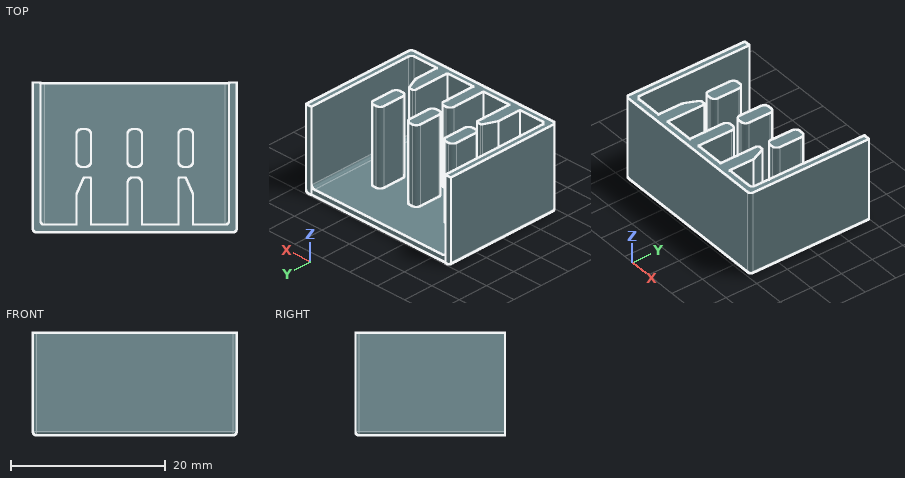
import cadquery as cq

length = 26.4
depth = 19.4
height = 13.3
wall = 1.0
floor_thickness = 1.0
floor_setback = 0.08
outer_radius = 0.5
inner_radius = 0.5

pitch = 6.6
post_width = 1.93
post_length = 4.88
post_radius = 0.7
post_center_offset = 10.93
middle_rib_width = 1.85
rib_length = 6.12
taper_length = 2.22
tip_width = 0.95
tip_radius = 0.26

front_y = -depth / 2
back_y = depth / 2
post_center_y = front_y + post_center_offset
inner_front_y = front_y + wall
rib_tip_y = inner_front_y + rib_length
cavity_height = height - floor_thickness
root_y = front_y + wall / 2
root_z = floor_thickness / 2
standing_height = height - root_z


def make_shell():
    """Three-walled tray with rounded outer and inner edges."""
    body = cq.Workplane("XY").box(length, depth, height, centered=(True, True, False))
    body = body.edges("|Z and <Y").fillet(outer_radius)
    body = body.faces("<Z").edges("not >Y").fillet(outer_radius)

    cavity_depth = back_y - inner_front_y
    cavity_block = (
        cq.Workplane("XY", origin=(0, inner_front_y + cavity_depth / 2, floor_thickness))
        .box(length - 2 * wall, cavity_depth, cavity_height, centered=(True, True, False))
    )
    rounded_corners = cavity_block.edges("|Z and <Y").fillet(inner_radius)
    rounded_floor_sides = cavity_block.edges("<Z and |Y").fillet(inner_radius)
    cavity = rounded_corners.intersect(rounded_floor_sides)

    setback_cut = (
        cq.Workplane("XY", origin=(0, back_y - floor_setback / 2, 0))
        .box(length - 2 * wall, floor_setback, height, centered=(True, True, False))
    )
    return body.cut(cavity).cut(setback_cut)


def make_post(x):
    """Round-cornered post standing free on the floor."""
    return (
        cq.Workplane("XY", origin=(x, post_center_y, root_z))
        .rect(post_width, post_length)
        .extrude(standing_height)
        .edges("|Z")
        .fillet(post_radius)
    )


def make_rib(outline, radius):
    """Rib rooted in the front wall, with its two tip corners rounded."""
    return (
        cq.Workplane("XY", origin=(0, 0, root_z))
        .polyline(outline)
        .close()
        .extrude(standing_height)
        .edges("|Z and >Y")
        .fillet(radius)
    )


middle_half = middle_rib_width / 2
middle_outline = [
    (-middle_half, root_y),
    (middle_half, root_y),
    (middle_half, rib_tip_y),
    (-middle_half, rib_tip_y),
]


def side_outline(side):
    """Side rib outline: the flank facing the side wall tapers to the tip."""
    inner_x = side * (pitch - post_width / 2)
    outer_x = side * (pitch + post_width / 2)
    return [
        (inner_x, root_y),
        (outer_x, root_y),
        (outer_x, rib_tip_y - taper_length),
        (inner_x + side * tip_width, rib_tip_y),
        (inner_x, rib_tip_y),
    ]


result = make_shell()
for x in (-pitch, 0, pitch):
    result = result.union(make_post(x))
result = result.union(make_rib(middle_outline, post_radius))
for side in (-1, 1):
    result = result.union(make_rib(side_outline(side), tip_radius))